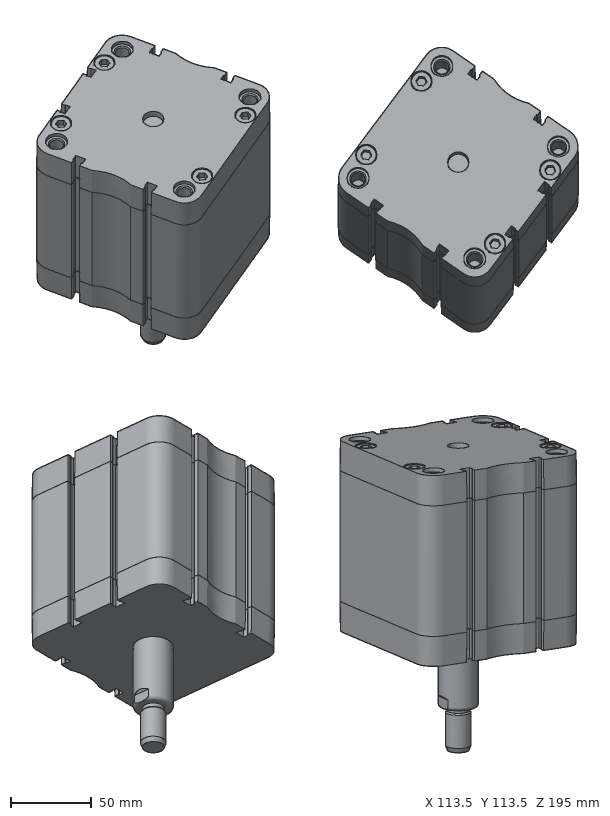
import cadquery as cq
import math


TOTAL_HEIGHT = 195.0
CAP_HEIGHT = 19.3
TUBE_HEIGHT = 83.7
TOP_JOINT_Z = TOTAL_HEIGHT - CAP_HEIGHT
BOTTOM_JOINT_Z = TOP_JOINT_Z - TUBE_HEIGHT
BODY_BOTTOM_Z = BOTTOM_JOINT_Z - CAP_HEIGHT

SIDE = 113.5
HALF_SIDE = SIDE / 2
CORNER_RADIUS = 12.0
HOLLOW_HALF_WIDTH = 13.3
HOLLOW_DEPTH = 2.7
CAP_DRAFT_ANGLE = 0.9

SLOT_MOUTH_WIDTH = 5.7
SLOT_WIDE_WIDTH = 6.8
SLOT_LIP = 3.5
SLOT_DEPTH = 6.6
LEFT_SLOT_LIP = 2.7
LEFT_SLOT_DEPTH = 5.7
CAP_SLOT_EXTRA_DEPTH = 0.4
SLOT_X = 25.0
LEFT_SLOT_Y = 17.5

MOUNT_POSITION = 44.5
MOUNT_BORE_DIAMETER = 13.5
MOUNT_BORE_DEPTH = 2.5
MOUNT_CHAMFER_DIAMETER = 10.1
MOUNT_THREAD_DIAMETER = 8.5

SCREW_X = 49.1
SCREW_Y = 29.2
SCREW_BORE_DIAMETER = 13.0
SCREW_HEAD_DIAMETER = 12.3
SCREW_HEAD_RECESS = 0.5
SCREW_GAP_DEPTH = 2.0
HEX_ACROSS_FLATS = 5.8
HEX_DEPTH = 4.9
HEX_TURN = 30

CENTRE_RECESS_DIAMETER = 13.0
CENTRE_RECESS_FLOOR_DIAMETER = 12.7
CENTRE_RECESS_DEPTH = 4.0

ROD_DIAMETER = 25.0
ROD_END_Z = 27.9
ROD_END_FILLET = 2.3
FLATS_WIDTH = 22.0
FLATS_TOP_Z = 35.0
NECK_DIAMETER = 14.0
THREAD_DIAMETER = 16.0
THREAD_TOP_Z = 24.4
THREAD_CHAMFER = (THREAD_DIAMETER - NECK_DIAMETER) / 2
THREAD_TIP_DIAMETER = 13.5
THREAD_TIP_HEIGHT = 3.1


def outline(z):
    """Rounded square with a shallow arc-shaped hollow in the -Y and +Y sides."""
    straight = HALF_SIDE - CORNER_RADIUS
    corner_mid = straight + CORNER_RADIUS * math.sqrt(0.5)
    return (
        cq.Workplane("XY", origin=(0, 0, z))
        .moveTo(-straight, -HALF_SIDE)
        .lineTo(-HOLLOW_HALF_WIDTH, -HALF_SIDE)
        .threePointArc((0, HOLLOW_DEPTH - HALF_SIDE), (HOLLOW_HALF_WIDTH, -HALF_SIDE))
        .lineTo(straight, -HALF_SIDE)
        .threePointArc((corner_mid, -corner_mid), (HALF_SIDE, -straight))
        .lineTo(HALF_SIDE, straight)
        .threePointArc((corner_mid, corner_mid), (straight, HALF_SIDE))
        .lineTo(HOLLOW_HALF_WIDTH, HALF_SIDE)
        .threePointArc((0, HALF_SIDE - HOLLOW_DEPTH), (-HOLLOW_HALF_WIDTH, HALF_SIDE))
        .lineTo(-straight, HALF_SIDE)
        .threePointArc((-corner_mid, corner_mid), (-HALF_SIDE, straight))
        .lineTo(-HALF_SIDE, -straight)
        .threePointArc((-corner_mid, -corner_mid), (-straight, -HALF_SIDE))
        .close()
    )


def slot_cutter(offset, turn, lip, depth):
    """T-slot along Z in the -Y side at X = offset, then turned about Z."""
    mouth = cq.Workplane("XY").box(SLOT_MOUTH_WIDTH, 2 * lip, TOTAL_HEIGHT, centered=(True, True, False))
    wide = cq.Workplane("XY", origin=(0, lip, 0)).box(
        SLOT_WIDE_WIDTH, depth - lip, TOTAL_HEIGHT, centered=(True, False, False)
    )
    cutter = mouth.union(wide).translate((offset, -HALF_SIDE, 0))
    return cutter.rotate((0, 0, 0), (0, 0, 1), turn)


def cut_slots(body, extra_depth=0.0):
    for offset in (-SLOT_X, SLOT_X):
        for turn in (0, 180):
            body = body.cut(slot_cutter(offset, turn, SLOT_LIP, SLOT_DEPTH + extra_depth))
    for offset in (-LEFT_SLOT_Y, LEFT_SLOT_Y):
        body = body.cut(slot_cutter(offset, -90, LEFT_SLOT_LIP, LEFT_SLOT_DEPTH + extra_depth))
    return body


def make_tube():
    return cut_slots(outline(BOTTOM_JOINT_Z).extrude(TUBE_HEIGHT))


def mount_hole_cutter():
    """Stepped hole through the cap: wide bore, chamfer, threaded hole."""
    thread_radius = MOUNT_THREAD_DIAMETER / 2
    chamfer_radius = MOUNT_CHAMFER_DIAMETER / 2
    bore_radius = MOUNT_BORE_DIAMETER / 2
    bore_floor = TOTAL_HEIGHT - MOUNT_BORE_DEPTH
    return (
        cq.Workplane("XZ")
        .moveTo(0, TOP_JOINT_Z)
        .lineTo(thread_radius, TOP_JOINT_Z)
        .lineTo(thread_radius, bore_floor - (chamfer_radius - thread_radius))
        .lineTo(chamfer_radius, bore_floor)
        .lineTo(bore_radius, bore_floor)
        .lineTo(bore_radius, TOTAL_HEIGHT)
        .lineTo(0, TOTAL_HEIGHT)
        .close()
        .revolve(360, (0, 0, 0), (0, 1, 0))
    )


def screw_cutter():
    """Space above and around a screw head, and the hexagon socket in the head."""
    top = cq.Workplane("XY", origin=(0, 0, TOTAL_HEIGHT))
    recess = top.circle(SCREW_BORE_DIAMETER / 2).extrude(-SCREW_HEAD_RECESS)
    gap = top.circle(SCREW_BORE_DIAMETER / 2).circle(SCREW_HEAD_DIAMETER / 2).extrude(-SCREW_GAP_DEPTH)
    across_corners = HEX_ACROSS_FLATS / math.cos(math.pi / 6)
    socket = top.polygon(6, across_corners).extrude(-HEX_DEPTH).rotate((0, 0, 0), (0, 0, 1), HEX_TURN)
    return recess.union(gap).union(socket)


def make_top_cap():
    cap = outline(TOP_JOINT_Z).extrude(CAP_HEIGHT, taper=CAP_DRAFT_ANGLE)
    cap = cut_slots(cap, CAP_SLOT_EXTRA_DEPTH)
    for sign_x in (-1, 1):
        for sign_y in (-1, 1):
            mount_place = (sign_x * MOUNT_POSITION, sign_y * MOUNT_POSITION, 0)
            screw_place = (sign_x * SCREW_X, sign_y * SCREW_Y, 0)
            cap = cap.cut(mount_hole_cutter().translate(mount_place))
            cap = cap.cut(screw_cutter().translate(screw_place))
    recess = (
        cq.Workplane("XY", origin=(0, 0, TOTAL_HEIGHT))
        .circle(CENTRE_RECESS_DIAMETER / 2)
        .workplane(offset=-CENTRE_RECESS_DEPTH)
        .circle(CENTRE_RECESS_FLOOR_DIAMETER / 2)
        .loft()
    )
    return cap.cut(recess)


def make_bottom_cap():
    """Mirror image of the top cap's outline, with a hole for the rod."""
    cap = outline(BOTTOM_JOINT_Z).extrude(-CAP_HEIGHT, taper=CAP_DRAFT_ANGLE)
    rod_hole = cq.Workplane("XY", origin=(0, 0, BODY_BOTTOM_Z)).circle(ROD_DIAMETER / 2).extrude(CAP_HEIGHT)
    return cut_slots(cap, CAP_SLOT_EXTRA_DEPTH).cut(rod_hole)


def make_rod():
    """Rod from the tube's lower end down to the threaded tip, with two wrench flats."""
    rod_radius = ROD_DIAMETER / 2
    neck_radius = NECK_DIAMETER / 2
    thread_radius = THREAD_DIAMETER / 2
    rod = (
        cq.Workplane("XZ")
        .moveTo(0, 0)
        .lineTo(THREAD_TIP_DIAMETER / 2, 0)
        .lineTo(thread_radius, THREAD_TIP_HEIGHT)
        .lineTo(thread_radius, THREAD_TOP_Z)
        .lineTo(neck_radius, THREAD_TOP_Z + THREAD_CHAMFER)
        .lineTo(neck_radius, ROD_END_Z)
        .lineTo(rod_radius - ROD_END_FILLET, ROD_END_Z)
        .radiusArc((rod_radius, ROD_END_Z + ROD_END_FILLET), -ROD_END_FILLET)
        .lineTo(rod_radius, BOTTOM_JOINT_Z)
        .lineTo(0, BOTTOM_JOINT_Z)
        .close()
        .revolve(360, (0, 0, 0), (0, 1, 0))
    )
    flat_x = FLATS_WIDTH / 2
    flat_cutter = (
        cq.Workplane("XZ")
        .moveTo(flat_x, ROD_END_Z)
        .lineTo(flat_x, FLATS_TOP_Z)
        .lineTo(rod_radius, FLATS_TOP_Z + rod_radius - flat_x)
        .lineTo(rod_radius, ROD_END_Z)
        .close()
        .extrude(rod_radius, both=True)
    )
    return rod.cut(flat_cutter).cut(flat_cutter.mirror("YZ"))


tube = make_tube()
top_cap = make_top_cap()
bottom_cap = make_bottom_cap()
rod = make_rod()

result = cq.Compound.makeCompound([tube.val(), top_cap.val(), bottom_cap.val(), rod.val()])